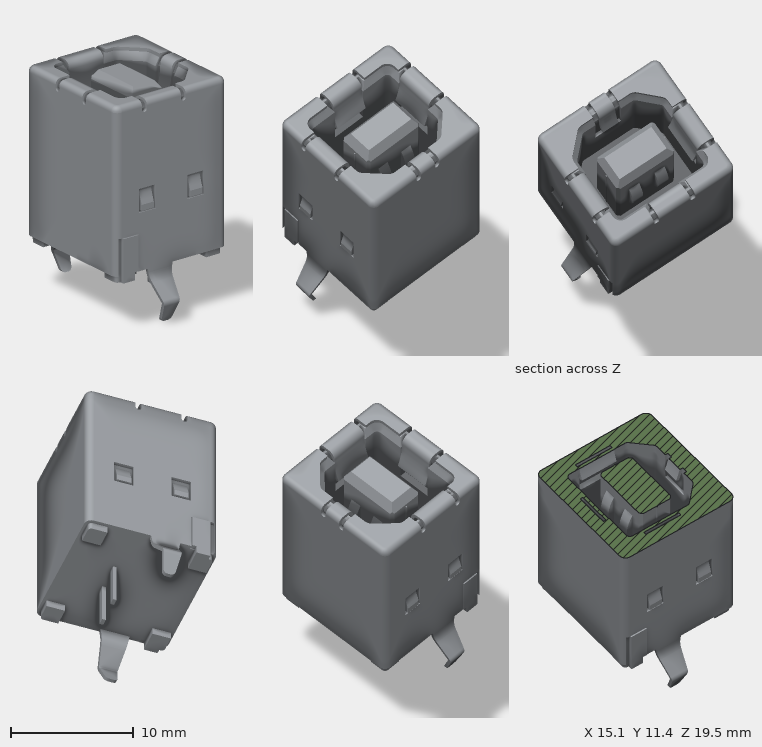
import cadquery as cq
import math


body_x = 12.04
body_y = 11.45
shell_height = 14.93
sheet = 0.31
corner_radius = 0.63
top_edge_radius = 0.5

taper_inset = 0.4
taper_depth = 0.7
mouth_half_x = 4.63
mouth_back = 4.34
mouth_front = -4.28
mouth_chamfer = 1.93
mouth_radius = 0.78
cavity_floor = 5.86
insulator_top = shell_height - sheet
insulator_bevel_in = 0.35
insulator_bevel_down = 0.47

slot_width = 0.49
slot_depth = 1.02
tab_flat = 0.98
tab_bend_radius = 0.68
tab_drop = 2.45
tab_lean = 0.5
pocket_depth = 4.3
pocket_inset = 0.85
back_pocket_inset = 1.11
side_tab_centre = -0.78
side_tab_width = 3.52
tabs = {
    "front": (body_y / 2, 0.0, 3.09, 0),
    "right": (body_x / 2, side_tab_centre, side_tab_width, 90),
    "back": (body_y / 2, 0.0, 1.52, 180),
    "left": (body_x / 2, -side_tab_centre, side_tab_width, 270),
}

tongue_x = 5.7
tongue_y = 3.26
tongue_top = 14.54
tongue_bevel_in = 0.53
tongue_bevel_down = 0.8
tongue_corner = 0.25
rib_width = 0.12
rib_proud = 0.08
rib_top = 13.48
contact_width = 1.0
contact_pitch = 2.5
contact_bulge = 0.59
contact_low = 8.2
contact_high = 11.92

pin_width = 0.6
pin_thickness = 0.31
pin_y = 1.6
pin_tip = -3.73

window_width = 1.7
window_bottom = 5.14
window_top = 7.25
window_y = 2.5
wedge_width = 1.25
wedge_bottom = 5.3
wedge_crest = 5.82
wedge_top = 6.95
proud = 0.08

foot_bottom = -0.65
foot_inner_x = 4.1
foot_inner_y = 3.81
notch_inner_y = 3.38
notch_outer_y = 5.41
notch_top = 3.32
plate_gap = 0.05
plate_outer_y = 5.0

leg_y = -1.15
leg_top_width = 2.54
leg_tip_width = 0.98
leg_tip_radius = 0.4
leg_tip = shell_height - 19.54
leg_reach = 15.15 / 2
leg_straight = 0.35
leg_upper_radius = 1.37
leg_upper_angle = 40.5
leg_knee_radius = 0.3
leg_lower_angle = 24.6
leg_lower_length = 2.35


def block(x_range, y_range, z_range):
    """Box spanning the given coordinate ranges."""
    size = [high - low for low, high in (x_range, y_range, z_range)]
    corner = (x_range[0], y_range[0], z_range[0])
    return cq.Workplane("XY").box(*size, centered=False).translate(corner)


def mirrored_x(solid):
    """The solid together with its mirror image in X."""
    return solid.union(solid.mirror("YZ"))


def bent_strip(plane, start, heading, steps, width):
    """Sheet strip along a path of (length,) lines and (radius, turn) arcs, angles in degrees."""

    def offset_point(point, angle, distance):
        return (point[0] - distance * math.sin(angle), point[1] + distance * math.cos(angle))

    half = sheet / 2
    point = start
    angle = math.radians(heading)
    left = [(None, offset_point(point, angle, half))]
    right = [(None, offset_point(point, angle, -half))]
    for step in steps:
        if len(step) == 1:
            point = offset_point(point, angle - math.pi / 2, step[0])
            left.append((None, offset_point(point, angle, half)))
            right.append((None, offset_point(point, angle, -half)))
            continue
        turn = math.radians(step[1])
        signed_radius = math.copysign(step[0], turn)
        centre = offset_point(point, angle, signed_radius)
        middle, end = angle + turn / 2, angle + turn
        for side, shift in ((left, half), (right, -half)):
            reach = shift - signed_radius
            side.append((offset_point(centre, middle, reach), offset_point(centre, end, reach)))
        point = offset_point(centre, end, -signed_radius)
        angle = end

    outline = cq.Workplane(plane).moveTo(*left[0][1])
    for middle, end in left[1:]:
        outline = outline.threePointArc(middle, end) if middle else outline.lineTo(*end)
    outline = outline.lineTo(*right[-1][1])
    for (middle, _), (_, end) in zip(reversed(right[1:]), reversed(right[:-1])):
        outline = outline.threePointArc(middle, end) if middle else outline.lineTo(*end)
    return outline.close().extrude(width / 2, both=True)


def mouth_prism(bottom, height):
    """Prism of the mouth outline: two large chamfered corners at the back, all corners rounded."""
    outline = [
        (-mouth_half_x, mouth_front),
        (mouth_half_x, mouth_front),
        (mouth_half_x, mouth_back - mouth_chamfer),
        (mouth_half_x - mouth_chamfer, mouth_back),
        (mouth_chamfer - mouth_half_x, mouth_back),
        (-mouth_half_x, mouth_back - mouth_chamfer),
    ]
    prism = cq.Workplane("XY").workplane(offset=bottom).polyline(outline).close().extrude(height)
    return prism.edges("|Z").fillet(mouth_radius)


def tapered_well(section_face, floor):
    """Well below a mouth face: it narrows over the taper depth, then runs straight to the floor."""
    taper = math.degrees(math.atan(taper_inset / taper_depth))
    lead_in = section_face.wires().toPending().extrude(-taper_depth, taper=taper, combine=False)
    straight = lead_in.faces("<Z").wires().toPending().workplane()
    straight = straight.extrude(insulator_top - taper_depth - floor, combine=False)
    return lead_in.union(straight)


def make_shell():
    outer = cq.Workplane("XY").box(body_x, body_y, shell_height, centered=(True, True, False))
    outer = outer.edges("|Z").fillet(corner_radius).faces(">Z").edges().fillet(top_edge_radius)
    inner = cq.Workplane("XY").box(
        body_x - 2 * sheet, body_y - 2 * sheet, insulator_top, centered=(True, True, False)
    )
    inner = inner.edges("|Z").fillet(corner_radius - sheet)
    inner = inner.faces(">Z").edges().fillet(top_edge_radius - sheet)
    shell = outer.cut(inner).cut(mouth_prism(insulator_top - sheet, 3 * sheet))
    for tab in tabs.values():
        shell = shell.cut(tab_clearance(*tab))
    for y in (-window_y, window_y):
        window = block(
            (body_x / 2 - sheet, body_x / 2),
            (y - window_width / 2, y + window_width / 2),
            (window_bottom, window_top),
        )
        shell = shell.cut(mirrored_x(window))
    notch = block((body_x / 2 - sheet, body_x / 2), (-notch_outer_y, -notch_inner_y), (0, notch_top))
    return shell.cut(mirrored_x(notch))


def tab_clearance(half_depth, centre, width, turn):
    """Two round-ended slots beside a tab and the gap in the top sheet beyond the tab's flat."""
    slot_floor = shell_height - slot_depth
    gap_half = width / 2 + slot_width
    clearance = block(
        (centre - gap_half, centre + gap_half),
        (tab_flat - half_depth, mouth_front + sheet),
        (slot_floor, shell_height),
    )
    for side in (-1, 1):
        slot_x = centre + side * (width + slot_width) / 2
        slot = block(
            (slot_x - slot_width / 2, slot_x + slot_width / 2),
            (-half_depth, tab_flat - half_depth),
            (slot_floor, shell_height),
        )
        slot = slot.faces("<Z").edges("|Y").fillet(slot_width / 2 - 0.002)
        clearance = clearance.union(slot)
    return clearance.rotate((0, 0, 0), (0, 0, 1), turn)


def make_tab(half_depth, centre, width, turn):
    """Strip that continues the top sheet, curls over and sweeps down and inwards in the cavity."""
    overlap = 0.1
    lean_angle = 2 * math.atan(tab_lean / tab_drop)
    lean_radius = tab_drop / math.sin(lean_angle)
    steps = [
        (overlap,),
        (tab_bend_radius - sheet / 2, -90),
        (lean_radius, math.degrees(lean_angle)),
    ]
    start = (tab_flat - overlap - half_depth, shell_height - sheet / 2)
    tab = bent_strip("YZ", start, 0, steps, width)
    return tab.translate((centre, 0, 0)).rotate((0, 0, 0), (0, 0, 1), turn)


def make_insulator():
    core = cq.Workplane("XY").box(
        body_x - 2 * sheet, body_y - 2 * sheet, insulator_top, centered=(True, True, False)
    )
    column = core.edges("|Z").fillet(corner_radius - sheet)
    core = core.faces(">Z").edges().chamfer(insulator_bevel_down, insulator_bevel_in)
    core = core.intersect(column)
    mouth_face = mouth_prism(insulator_top - sheet, sheet).faces(">Z")
    core = core.cut(tapered_well(mouth_face, cavity_floor))
    for side, tab in tabs.items():
        if side == "back":
            core = core.cut(tab_pocket(*tab, back_pocket_inset, slot_width))
        else:
            core = core.cut(tab_pocket(*tab, pocket_inset, 0))
    return core


def tab_pocket(half_depth, centre, width, turn, inset, side_clearance):
    """Tapered pocket behind a tab, no wider than the slots beside the tab."""
    top_half = width / 2 + side_clearance + taper_inset
    slot_half = width / 2 + slot_width
    y_range = (inset - half_depth, -mouth_back / 2)
    floor = insulator_top - pocket_depth
    top = block(
        (centre - top_half, centre + top_half), y_range, (insulator_top - sheet, insulator_top)
    )
    limit = block((centre - slot_half, centre + slot_half), y_range, (floor, insulator_top))
    pocket = tapered_well(top.faces(">Z"), floor).intersect(limit)
    return pocket.rotate((0, 0, 0), (0, 0, 1), turn)


def make_tongue():
    tongue = block(
        (-tongue_x / 2, tongue_x / 2),
        (-tongue_y / 2, tongue_y / 2),
        (cavity_floor, tongue_top),
    )
    tongue = tongue.faces(">Z").edges().chamfer(tongue_bevel_down, tongue_bevel_in)
    frame = cq.Workplane("XY").rect(tongue_x, tongue_y).extrude(shell_height)
    tongue = tongue.intersect(frame.edges("|Z").chamfer(tongue_corner))
    rib = block((0, tongue_x / 2 + rib_proud), (-rib_width / 2, rib_width / 2), (cavity_floor, rib_top))
    tongue = tongue.union(mirrored_x(rib))
    bow = (
        cq.Workplane("YZ")
        .moveTo(0, contact_low)
        .lineTo(tongue_y / 2, contact_low)
        .threePointArc(
            (tongue_y / 2 + contact_bulge, (contact_low + contact_high) / 2),
            (tongue_y / 2, contact_high),
        )
        .lineTo(0, contact_high)
        .close()
        .extrude(contact_width / 2, both=True)
    )
    bow = bow.union(bow.mirror("XZ")).translate((contact_pitch / 2, 0, 0))
    return tongue.union(mirrored_x(bow))


def make_pins():
    pin = block((-pin_width / 2, pin_width / 2), (-pin_thickness / 2, pin_thickness / 2), (pin_tip, 0.2))
    return mirrored_x(pin.translate((contact_pitch / 2, pin_y, 0)))


def make_wedges():
    """Ramps that rise from the insulator through the shell windows."""
    root = body_x / 2 - sheet
    crest = body_x / 2 + proud
    profile = [
        (root - 0.2, wedge_bottom),
        (crest, wedge_bottom),
        (crest, wedge_crest),
        (root, wedge_top),
        (root - 0.2, wedge_top),
    ]
    wedge = cq.Workplane("XZ").polyline(profile).close().extrude(wedge_width / 2, both=True)
    pair = wedge.translate((0, window_y, 0)).union(wedge.translate((0, -window_y, 0)))
    return mirrored_x(pair)


def make_feet():
    insulator_x = body_x / 2 - sheet
    insulator_y = body_y / 2 - sheet
    foot = block((foot_inner_x, insulator_x), (foot_inner_y, insulator_y), (foot_bottom, 0.2))
    foot = foot.edges("|Z and >X and >Y").fillet(corner_radius - sheet)
    return mirrored_x(foot.union(foot.mirror("XZ")))


def make_plates():
    """Proud plates in the shell notches near the front corners, each ending in a foot."""
    face = body_x / 2 + proud
    root = body_x / 2 - sheet - 0.2
    inner_y = notch_inner_y + plate_gap
    plate = block((root, face), (-plate_outer_y, -inner_y), (foot_bottom, notch_top - plate_gap))
    plate = plate.cut(block((root, face), (-foot_inner_y, -inner_y), (foot_bottom, plate_gap)))
    return mirrored_x(plate)


def make_legs():
    """Kinked spring legs that taper to a rounded tip."""
    overlap = 0.2
    upper = math.radians(leg_upper_angle)
    start_x = (body_x - sheet) / 2
    bends_reach = (leg_upper_radius + leg_knee_radius) * (1 - math.cos(upper))
    slope_length = (leg_reach - sheet / 2 - start_x - bends_reach) / math.sin(upper)
    steps = [
        (leg_straight + overlap,),
        (leg_upper_radius, leg_upper_angle),
        (slope_length,),
        (leg_knee_radius, -leg_upper_angle - leg_lower_angle),
        (leg_lower_length,),
    ]
    strip = bent_strip("XZ", (start_x, overlap), -90, steps, 2 * leg_top_width)
    top_half = leg_top_width / 2
    tip_half = leg_tip_width / 2
    blade = cq.Workplane("YZ").polyline(
        [(-top_half, overlap), (-top_half, 0), (-tip_half, leg_tip), (tip_half, leg_tip),
         (top_half, 0), (top_half, overlap)]
    )
    blade = blade.close().extrude(leg_reach).faces("<Z").edges("|X").fillet(leg_tip_radius)
    return mirrored_x(strip.intersect(blade).translate((0, leg_y, 0)))


result = make_shell().union(make_insulator()).union(make_tongue())
for tab in tabs.values():
    result = result.union(make_tab(*tab))
for feature in (make_pins(), make_wedges(), make_feet(), make_plates(), make_legs()):
    result = result.union(feature)